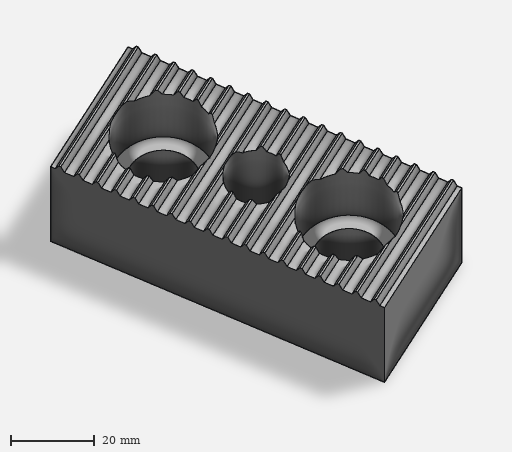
import cadquery as cq

length = 90.0
width = 40.0
height = 32.0

tooth_count = 18
tooth_pitch = length / tooth_count
tooth_height = 1.7
tooth_base_width = tooth_pitch / 2
tooth_tip_width = 0.5

screw_hole_spacing = 50.0
screw_hole_diameter = 18.0
counterbore_diameter = 25.9
counterbore_depth = 19.0
center_hole_diameter = 15.8

body_height = height - tooth_height


def toothed_outline():
    """Points of the XZ outline: the block with a row of trapezoidal teeth on top."""
    points = [(-length / 2, 0), (-length / 2, body_height)]
    for index in range(tooth_count):
        middle = -length / 2 + (index + 0.5) * tooth_pitch
        points += [
            (middle - tooth_base_width / 2, body_height),
            (middle - tooth_tip_width / 2, height),
            (middle + tooth_tip_width / 2, height),
            (middle + tooth_base_width / 2, body_height),
        ]
    points += [(length / 2, body_height), (length / 2, 0)]
    return points


def vertical_cylinder(x, diameter, bottom, top):
    """Cylinder on the block's long centre line, from one height up to another."""
    return (
        cq.Workplane("XY", origin=(x, 0, bottom))
        .circle(diameter / 2)
        .extrude(top - bottom)
    )


result = cq.Workplane("XZ").polyline(toothed_outline()).close().extrude(width / 2, both=True)

result = result.cut(vertical_cylinder(0, center_hole_diameter, 0, height))

for side in (-1, 1):
    hole_x = side * screw_hole_spacing / 2
    result = result.cut(vertical_cylinder(hole_x, screw_hole_diameter, 0, height))
    result = result.cut(
        vertical_cylinder(hole_x, counterbore_diameter, height - counterbore_depth, height)
    )